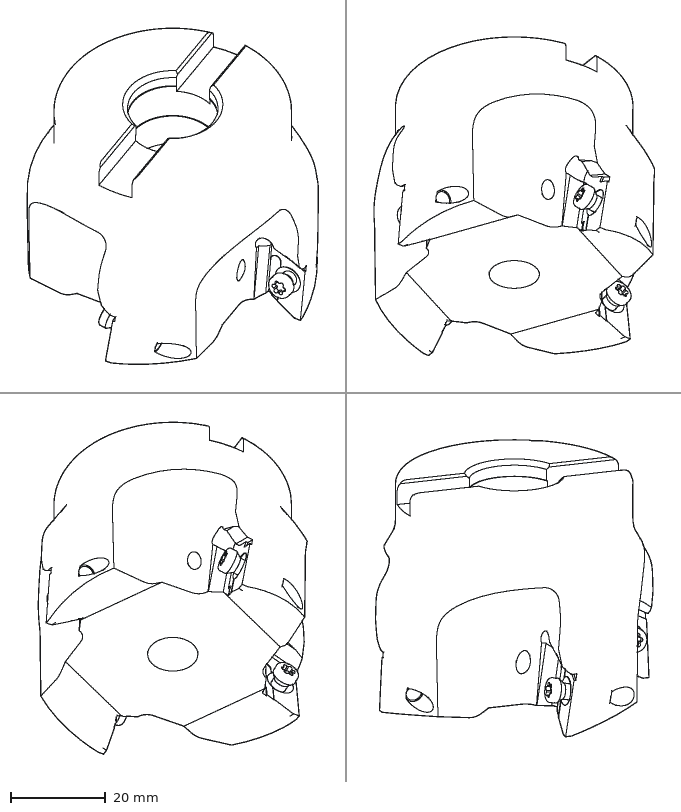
import cadquery as cq
import math


TEETH = 4

HEIGHT = 48.65
HUB_BOTTOM = 4.3
NECK_RADIUS = 25.05
HEAD_RADIUS = 30.7
RIM_RADIUS = 30.35
NECK_BOTTOM = 38.7
CONE_TOP = 33.8
CONE_TOP_RADIUS = 26.5
CONE_BOTTOM = 28.5
CONE_BOTTOM_RADIUS = 29.45
HEAD_TOP = 23.6
HEAD_BOTTOM = 18.7
TOP_ROUND = 2.0

BORE_RADIUS = 9.5
BORE_CHAMFER = 1.05
BORE_SHOULDER = 28.85
RELIEF_RADIUS = 9.7
RELIEF_TOP = 45.1
RELIEF_BOTTOM = 36.6
BOLT_HOLE_RADIUS = 5.3
BOLT_HOLE_CHAMFER = 0.35
SLOT_WIDTH = 8.0
SLOT_DEPTH = 5.1
SLOT_CHAMFER = 0.55

FLUTE_TILT = 4.7
FLUTE_WALL_X = -2.6
FLUTE_FLOOR = 19.0
FLUTE_RAMP_START = 18.85
FLUTE_RAMP_RADIUS = 15.4
FLUTE_CORNER_RADIUS = 3.0

RIDGE_TIP = (0.6, -29.75, -0.5)
RIDGE_AZIMUTH = 38.0
RIDGE_CLIMB = 7.1
RIDGE_INNER_SLOPE = 35.0
RIDGE_OUTER_SLOPE = 15.4
RIDGE_ROUND = 2.45

SEAT_TILT = 8.5
SEAT_X = 0.75
SEAT_INNER = 22.15
SEAT_TOP = 18.2
SEAT_TOP_SLOPE = 27.6
SEAT_WALL_STEPS = [
    (0.0, 0.0, 0.0),
    (0.85, 0.0, 0.0),
    (2.15, 0.6, 0.75),
    (3.7, 1.2, 1.9),
    (5.2, 1.2, 1.9),
]
CORNER_RELIEF_RADIUS = 2.15
CORNER_RELIEF_AT = (22.8, 18.6)
WALL_RELIEF_TOP = 19.75
WALL_RELIEF_END = (0.1, 14.7)
SEAT_GROOVE_OUTER = 24.6
SEAT_GROOVE_TOP = 13.8
SEAT_GROOVE_DEPTH = 0.1
NOTCH_DEPTH = 0.4
SIDE_NOTCH_WIDTH = 0.9
SIDE_NOTCH_TOP = 5.95
TOP_NOTCH_WIDTH = 1.2
TOP_NOTCH_START = 27.9

SCREW_AT = (26.5, 8.85)
SCREW_TILT = 11.2
SHANK_RADIUS = 1.7
SHANK_LENGTH = 9.75
COUNTERSINK_RADIUS = 3.1
COUNTERSINK_DEPTH = 0.9
BACK_HOLE_RADIUS = 2.0
BACK_HOLE_END = 19.65
NECK_END = 0.6
HEAD_CONE_END = 1.95
SCREW_HEAD_RADIUS = 2.65
SCREW_HEAD_TOP = 3.8
SCREW_HEAD_ROUND = 0.55
SOCKET_RADIUS = 1.15
SOCKET_LOBE_RADIUS = 0.4
SOCKET_LOBES = 6
SOCKET_DEPTH = 1.2

COOLANT_RADIUS = 1.55
COOLANT_START = (-1.85, -7.5, BORE_SHOULDER)
COOLANT_END = (-4.7, -19.0, 13.6)
COOLANT_OVERRUN = 3.7

REACH = 42.95


def tilted_frame(x_at_zero, tilt):
    """Plane leaning about Y: local x is radially outward, local y climbs, local z faces the flute."""
    lean = math.radians(tilt)
    return cq.Plane(
        origin=(x_at_zero, 0, 0),
        xDir=(0, -1, 0),
        normal=(-math.cos(lean), 0, math.sin(lean)),
    )


FLUTE_FRAME = tilted_frame(FLUTE_WALL_X, FLUTE_TILT)
SEAT_FRAME = tilted_frame(SEAT_X, SEAT_TILT)
SCREW_FRAME = cq.Plane(
    origin=SEAT_FRAME.toWorldCoords(SCREW_AT),
    xDir=SEAT_FRAME.xDir,
    normal=tilted_frame(SEAT_X, SCREW_TILT).zDir,
)


def in_frame(shape, frame):
    return shape.newObject([shape.val().moved(cq.Location(frame))])


def at_tooth(shape, tooth):
    return shape.rotate((0, 0, 0), (0, 0, 1), tooth * 360 / TEETH)


def disc(radius, bottom, top):
    return cq.Workplane("XY", origin=(0, 0, bottom)).circle(radius).extrude(top - bottom)


def body_blank():
    cone_direction = (CONE_BOTTOM_RADIUS - CONE_TOP_RADIUS, CONE_BOTTOM - CONE_TOP)
    return (
        cq.Workplane("XZ")
        .moveTo(0, 0)
        .lineTo(0, HEIGHT)
        .lineTo(NECK_RADIUS - TOP_ROUND, HEIGHT)
        .tangentArcPoint((NECK_RADIUS, HEIGHT - TOP_ROUND), relative=False)
        .lineTo(NECK_RADIUS, NECK_BOTTOM)
        .tangentArcPoint((CONE_TOP_RADIUS, CONE_TOP), relative=False)
        .lineTo(CONE_BOTTOM_RADIUS, CONE_BOTTOM)
        .spline([(HEAD_RADIUS, HEAD_TOP)], tangents=[cone_direction, (0, -1)], includeCurrent=True)
        .lineTo(HEAD_RADIUS, HEAD_BOTTOM)
        .lineTo(RIM_RADIUS, 0)
        .close()
        .revolve(360, (0, 0, 0), (0, 1, 0))
    )


def tooth_underside():
    """Ridge with unequal flanks, cut off level with the hub bottom."""
    azimuth = math.radians(RIDGE_AZIMUTH)
    climb = math.radians(RIDGE_CLIMB)
    back_along_ridge = (
        -math.cos(climb) * math.cos(azimuth),
        -math.cos(climb) * math.sin(azimuth),
        -math.sin(climb),
    )
    frame = cq.Plane(
        origin=RIDGE_TIP, xDir=(math.sin(azimuth), -math.cos(azimuth), 0), normal=back_along_ridge
    )
    flank_top = REACH * math.tan(math.radians(RIDGE_INNER_SLOPE))
    ridge = (
        cq.Workplane("XY", origin=(0, 0, REACH))
        .moveTo(0, 0)
        .lineTo(REACH, REACH * math.tan(math.radians(RIDGE_OUTER_SLOPE)))
        .lineTo(REACH, flank_top)
        .lineTo(-REACH, flank_top)
        .close()
        .extrude(-2 * REACH)
        .edges("|Z and <Y")
        .fillet(RIDGE_ROUND)
    )
    return in_frame(ridge, frame).intersect(disc(REACH, -HUB_BOTTOM, HUB_BOTTOM))


def bore_cutter():
    chamfer_bottom = HEIGHT - BORE_CHAMFER
    bore = disc(BORE_RADIUS, BORE_SHOULDER, HEIGHT)
    relief = disc(RELIEF_RADIUS, RELIEF_BOTTOM, RELIEF_TOP)
    bolt_hole = disc(BOLT_HOLE_RADIUS, -HUB_BOTTOM, BORE_SHOULDER)
    mouth = cq.Workplane(cq.Solid.makeCone(
        BORE_RADIUS, BORE_RADIUS + BORE_CHAMFER, BORE_CHAMFER, cq.Vector(0, 0, chamfer_bottom)
    ))
    shoulder_chamfer = cq.Workplane(cq.Solid.makeCone(
        BOLT_HOLE_RADIUS,
        BOLT_HOLE_RADIUS + BOLT_HOLE_CHAMFER,
        BOLT_HOLE_CHAMFER,
        cq.Vector(0, 0, BORE_SHOULDER - BOLT_HOLE_CHAMFER),
    ))
    return bore.union(relief).union(bolt_hole).union(mouth).union(shoulder_chamfer)


def drive_slot_cutter():
    half = SLOT_WIDTH / 2
    right_side = [
        (half, HEIGHT - SLOT_DEPTH),
        (half, HEIGHT - SLOT_CHAMFER),
        (half + SLOT_CHAMFER, HEIGHT),
    ]
    left_side = [(-x, z) for x, z in reversed(right_side)]
    return cq.Workplane("XZ").polyline(right_side + left_side).close().extrude(REACH, both=True)


def flute_cutter():
    ramp_end = FLUTE_RAMP_START + FLUTE_RAMP_RADIUS
    ramp_centre_x = FLUTE_FLOOR + FLUTE_RAMP_RADIUS
    arc_turn = FLUTE_RAMP_RADIUS * math.cos(math.radians(45))
    flute = (
        cq.Workplane("XY")
        .moveTo(FLUTE_FLOOR, -HUB_BOTTOM)
        .lineTo(FLUTE_FLOOR, FLUTE_RAMP_START)
        .threePointArc(
            (ramp_centre_x - arc_turn, FLUTE_RAMP_START + arc_turn),
            (ramp_centre_x, ramp_end),
        )
        .lineTo(REACH, ramp_end)
        .lineTo(REACH, -HUB_BOTTOM)
        .close()
        .extrude(REACH)
        .faces("<Z")
        .edges("<X")
        .fillet(FLUTE_CORNER_RADIUS)
    )
    return in_frame(flute, FLUTE_FRAME)


def seat_outline(height, side_spread, top_spread):
    """Closed wire whose inner side and sloping top stand outside the floor outline by their spreads.

    Side and top are joined by a straight line that the drilled corner takes away.
    """
    slope = math.radians(SEAT_TOP_SLOPE)
    inner = SEAT_INNER - side_spread
    top = SEAT_TOP + top_spread / math.cos(slope)
    corner_x, corner_y = CORNER_RELIEF_AT
    corners = [
        (inner, -REACH),
        (inner, corner_y),
        (corner_x, top - (corner_x - SEAT_INNER) * math.tan(slope)),
        (REACH, top - (REACH - SEAT_INNER) * math.tan(slope)),
        (REACH, -REACH),
    ]
    return cq.Wire.makePolygon([cq.Vector(x, y, height) for x, y in corners], close=True)


def seat_cutter():
    """Insert pocket with flaring walls, a drilled corner and shallow reliefs in its floor."""
    outlines = [seat_outline(*step) for step in SEAT_WALL_STEPS]
    pocket = cq.Workplane(cq.Solid.makeLoft(outlines, True))
    corner_depth = SEAT_WALL_STEPS[-1][0] + CORNER_RELIEF_RADIUS
    corner = (
        cq.Workplane("XY")
        .center(*CORNER_RELIEF_AT)
        .circle(CORNER_RELIEF_RADIUS)
        .extrude(corner_depth)
    )
    groove_width = SEAT_GROOVE_OUTER - SEAT_INNER
    groove = (
        cq.Workplane("XY", origin=(0, 0, -SEAT_GROOVE_DEPTH))
        .moveTo(SEAT_INNER, -REACH)
        .lineTo(SEAT_GROOVE_OUTER, -REACH)
        .lineTo(SEAT_GROOVE_OUTER, SEAT_GROOVE_TOP - groove_width / 2)
        .threePointArc(
            (SEAT_INNER + groove_width / 2, SEAT_GROOVE_TOP),
            (SEAT_INNER, SEAT_GROOVE_TOP - groove_width / 2),
        )
        .close()
        .extrude(SEAT_GROOVE_DEPTH)
    )
    side_notch = (
        cq.Workplane("XY", origin=(SEAT_INNER, SIDE_NOTCH_TOP, -NOTCH_DEPTH))
        .rect(SIDE_NOTCH_WIDTH, -REACH, centered=False)
        .extrude(NOTCH_DEPTH)
    )
    notch_drop = (TOP_NOTCH_START - SEAT_INNER) * math.tan(math.radians(SEAT_TOP_SLOPE))
    top_notch = (
        cq.Workplane("XY")
        .rect(REACH, -TOP_NOTCH_WIDTH, centered=False)
        .extrude(-NOTCH_DEPTH)
        .rotate((0, 0, 0), (0, 0, 1), -SEAT_TOP_SLOPE)
        .translate((TOP_NOTCH_START, SEAT_TOP - notch_drop, 0))
    )
    pocket = pocket.union(corner).union(groove).union(side_notch).union(top_notch)
    return in_frame(pocket, SEAT_FRAME)


def wall_relief_cutter():
    """Thin wedge that leans the flute wall back above the seat."""
    lean = math.tan(math.radians(FLUTE_TILT))
    wedge_top = (FLUTE_WALL_X + WALL_RELIEF_TOP * lean, WALL_RELIEF_TOP)
    wedge_bottom = (FLUTE_WALL_X + WALL_RELIEF_END[1] * lean, WALL_RELIEF_END[1])
    inner_end = CORNER_RELIEF_AT[0]
    return (
        cq.Workplane("XZ", origin=(0, -inner_end, 0))
        .polyline([wedge_top, WALL_RELIEF_END, wedge_bottom])
        .close()
        .extrude(REACH)
    )


def revolved_about_screw(points):
    return cq.Workplane("XZ").polyline(points).close().revolve(360, (0, 0, 0), (0, 1, 0))


def screw_hole_cutter():
    hole = revolved_about_screw([
        (0, NECK_END),
        (COUNTERSINK_RADIUS, NECK_END),
        (COUNTERSINK_RADIUS, 0),
        (SHANK_RADIUS, -COUNTERSINK_DEPTH),
        (SHANK_RADIUS, -SHANK_LENGTH),
        (BACK_HOLE_RADIUS, -SHANK_LENGTH),
        (BACK_HOLE_RADIUS, -BACK_HOLE_END),
        (0, -BACK_HOLE_END),
    ])
    return in_frame(hole, SCREW_FRAME)


def coolant_hole_cutter():
    start = cq.Vector(*COOLANT_START)
    along = cq.Vector(*COOLANT_END) - start
    run = along.normalized() * COOLANT_OVERRUN
    length = along.Length + 2 * COOLANT_OVERRUN
    return cq.Workplane(cq.Solid.makeCylinder(COOLANT_RADIUS, length, start - run, along))


def make_cutter_body():
    envelope = disc(REACH, HUB_BOTTOM, HEIGHT)
    underside = tooth_underside()
    for tooth in range(TEETH):
        envelope = envelope.union(at_tooth(underside, tooth))
    body = body_blank().intersect(envelope)
    body = body.cut(bore_cutter()).cut(drive_slot_cutter())
    tooth_cutters = [
        flute_cutter(),
        seat_cutter(),
        wall_relief_cutter(),
        screw_hole_cutter(),
        coolant_hole_cutter(),
    ]
    for tooth in range(TEETH):
        for cutter in tooth_cutters:
            body = body.cut(at_tooth(cutter, tooth))
    return body


def make_clamp_screw():
    """Countersunk-style screw with a rounded top and a six-lobe socket."""
    screw = revolved_about_screw([
        (0, -SHANK_LENGTH),
        (SHANK_RADIUS, -SHANK_LENGTH),
        (SHANK_RADIUS, NECK_END),
        (SCREW_HEAD_RADIUS, HEAD_CONE_END),
        (SCREW_HEAD_RADIUS, SCREW_HEAD_TOP),
        (0, SCREW_HEAD_TOP),
    ])
    screw = screw.edges(">Z").fillet(SCREW_HEAD_ROUND)
    socket_floor = SCREW_HEAD_TOP - SOCKET_DEPTH
    lobes = (
        cq.Workplane("XY", origin=(0, 0, socket_floor))
        .polarArray(SOCKET_RADIUS, 0, 360, SOCKET_LOBES)
        .circle(SOCKET_LOBE_RADIUS)
        .extrude(SOCKET_DEPTH)
    )
    socket = disc(SOCKET_RADIUS, socket_floor, SCREW_HEAD_TOP).union(lobes)
    return in_frame(screw.cut(socket), SCREW_FRAME)


cutter_body = make_cutter_body()
clamp_screw = make_clamp_screw()
clamp_screws = [at_tooth(clamp_screw, tooth).val() for tooth in range(TEETH)]

result = cq.Compound.makeCompound([cutter_body.val(), *clamp_screws])